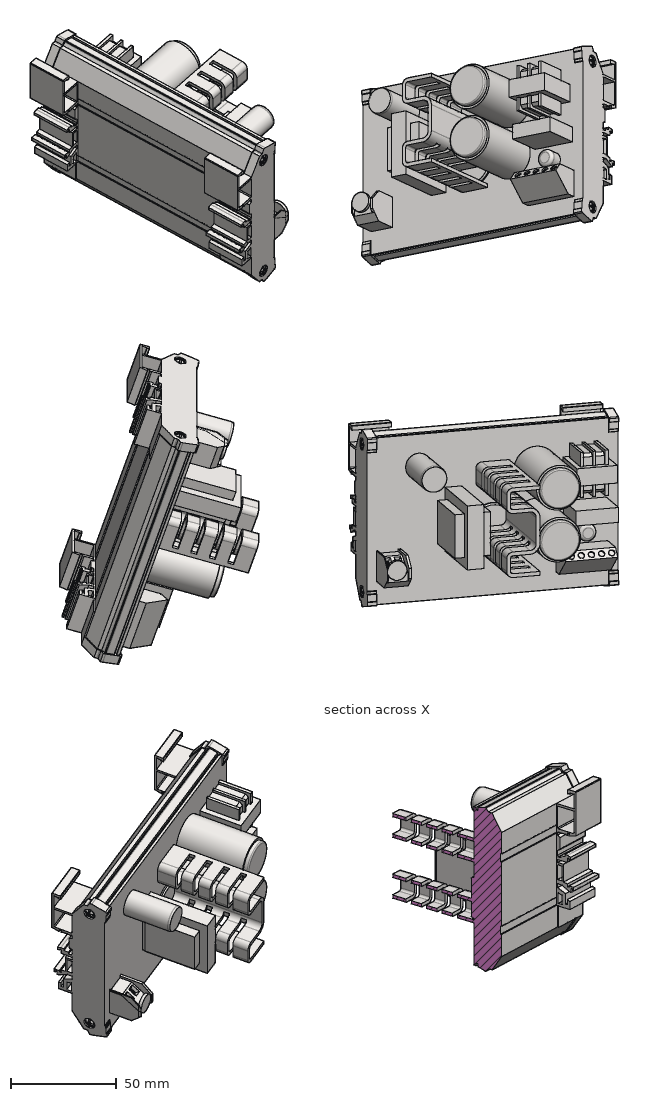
import cadquery as cq


total_length = 125.9
total_height = 86.9
total_depth = 76.5

screw_protrusion = 0.5
cap_thickness = 4.7
cap_end = total_length / 2 - screw_protrusion
cap_inner = cap_end - cap_thickness
cap_half_height = total_height / 2

heatsink_reach = 48.2
foot_back = heatsink_reach - total_depth
cap_back = -17.5
housing_back = -16.7
embed = 0.6


def box(x_range, y_range, z_range):
    """Box between pairs of coordinates."""
    (x0, x1), (y0, y1), (z0, z1) = x_range, y_range, z_range
    return cq.Workplane("XY").box(x1 - x0, y1 - y0, z1 - z0, centered=False).translate((x0, y0, z0))


def extrude_along_x(points, x_range):
    """Prism along X from a closed (y, z) outline."""
    x0, x1 = x_range
    return cq.Workplane("YZ", origin=(x0, 0, 0)).polyline(points).close().extrude(x1 - x0)


def standing_cylinder(x, z, radius, height, base=-embed):
    """Cylinder rising along +Y from the board."""
    plane = cq.Plane(origin=(x, base, z), xDir=(0, 0, 1), normal=(0, 1, 0))
    return cq.Workplane(plane).circle(radius).extrude(height - base)


def mirrored_in_z(upper_points):
    """Close an upper (y, z) half outline with its mirror image about Z = 0."""
    return upper_points + [(y, -z) for y, z in reversed(upper_points)]


def on_both_ends(body):
    """The body together with its mirror image about X = 0."""
    return body.union(body.mirror("YZ"))


slope_foot_z = 32.1
groove_depth = 0.6
back_grooves = ((16.7, 20.9), (-20.6, -16.5))
edge_groove = (-2.5, -1.4)
edge_groove_floor = 39.8
rim_z = 41.0


def make_housing():
    upper = [
        (0, rim_z),
        (edge_groove[1], rim_z),
        (edge_groove[1], edge_groove_floor),
        (edge_groove[0], edge_groove_floor),
        (edge_groove[0], 41.3),
        (-6.4, 42.3),
        (-6.8, 42.4),
        (-7.3, 42.3),
        (-7.5, 42.0),
        (-8.8, 40.7),
        (-11.0, 40.7),
        (housing_back, slope_foot_z),
    ]
    body = extrude_along_x(mirrored_in_z(upper), (-cap_inner, cap_inner))
    for z_range in back_grooves:
        groove = box((-cap_inner, cap_inner), (housing_back, housing_back + groove_depth), z_range)
        body = body.cut(groove)
    return body


screw_y = -8.2
screw_z = 36.3
screw_radius = 2.9
screw_sink = 1.1
screw_flat_radius = 0.8
screw_bulge = 0.7
cross_width = 0.9
cross_length = 4.8
cross_depth = 1.1
pad_inner = 43.5


def make_screw(z):
    """Domed cross-head screw with a small flat crown, on the +X cap."""
    dome = screw_sink + screw_protrusion
    seat_x = cap_end - screw_sink
    head = (
        cq.Workplane("XY", origin=(seat_x, screw_y, z))
        .lineTo(dome, 0)
        .lineTo(dome, screw_flat_radius)
        .threePointArc((dome * screw_bulge, (screw_flat_radius + screw_radius) / 2), (0, screw_radius))
        .close()
        .revolve(360, (0, 0, 0), (1, 0, 0))
    )
    depth = (total_length / 2 - cross_depth, total_length / 2)
    for size_y, size_z in ((cross_length, cross_width), (cross_width, cross_length)):
        slot = box(
            depth,
            (screw_y - size_y / 2, screw_y + size_y / 2),
            (z - size_z / 2, z + size_z / 2),
        )
        head = head.cut(slot)
    return head


def make_cap():
    upper = [
        (0, 34.0),
        (0.4, 34.2),
        (0.4, 35.4),
        (0.8, 35.6),
        (0.8, 39.0),
        (1.1, 39.3),
        (1.1, 40.9),
        (0.4, 41.4),
        (-6.9, cap_half_height),
        (-8.0, cap_half_height),
        (-9.2, 41.3),
        (-9.8, 41.2),
        (-11.2, 41.2),
        (cap_back, slope_foot_z),
    ]
    cap = extrude_along_x(mirrored_in_z(upper), (cap_inner, cap_end))
    pad = box((pad_inner, cap_end), (cap_back, housing_back), (-slope_foot_z, slope_foot_z))
    cap = cap.union(pad)
    for z in (screw_z, -screw_z):
        recess = (
            cq.Workplane("YZ", origin=(cap_end - screw_sink, 0, 0))
            .center(screw_y, z)
            .circle(screw_radius)
            .extrude(screw_sink)
        )
        cap = cap.cut(recess).union(make_screw(z))
    return cap


foot_width = 19.8
foot_wall = 1.1
foot_range = (cap_end - foot_width, cap_end)
foot_bottom = -20.6
root = housing_back


def make_foot():
    plate = box(foot_range, (cap_back, housing_back), (foot_bottom, slope_foot_z))
    outer = foot_back
    inner = foot_back + foot_wall
    hook = [
        (root, slope_foot_z),
        (inner, slope_foot_z),
        (inner, 39.8),
        (-24.7, 39.4),
        (-24.9, 39.0),
        (-23.5, 38.9),
        (-23.5, 40.9),
        (-23.8, 41.2),
        (outer + 0.4, 41.2),
        (outer, 40.8),
        (outer, 18.4),
        (-24.4, 17.2),
        (-24.4, 18.4),
        (-23.3, 18.4),
        (-23.3, 17.2),
        (-22.4, 17.6),
        (-17.9, 17.6),
        (cap_back, 17.2),
        (root, 17.2),
    ]
    hook_window = [
        (cap_back, 31.0),
        (inner, 31.0),
        (inner, 19.8),
        (inner + 0.5, 19.3),
        (cap_back - 0.5, 19.3),
        (cap_back, 19.8),
    ]
    stop_rib = [
        (root, 16.0),
        (cap_back, 16.0),
        (-19.0, 15.1),
        (-19.0, 9.2),
        (-18.8, 8.7),
        (-18.4, 8.7),
        (cap_back, 7.9),
        (root, 7.9),
    ]
    latch = [
        (root, 5.5),
        (cap_back, 5.5),
        (-17.9, 4.8),
        (-19.4, 4.8),
        (-19.4, 5.9),
        (-21.8, 5.9),
        (-21.8, 7.0),
        (-23.4, 7.0),
        (-25.3, 6.5),
        (-25.3, 5.0),
        (-24.3, 5.2),
        (-23.7, 5.7),
        (-23.3, 5.3),
        (-23.3, 3.7),
        (-22.9, 3.3),
        (root, 3.3),
    ]
    spring_arm = [
        (root, 1.8),
        (-21.0, 1.8),
        (-21.0, -7.4),
        (-23.3, -7.8),
        (-23.3, -9.2),
        (-24.3, -9.2),
        (-24.3, -8.5),
        (-27.1, -8.5),
        (-27.1, -10.5),
        (-26.3, -10.5),
        (-26.3, -9.7),
        (-25.5, -9.7),
        (-25.5, -11.6),
        (-24.8, -11.6),
        (-20.0, -9.2),
        (root, -9.2),
    ]
    spring_window = [(cap_back, 0.3), (-17.9, 0.6), (-20.3, 0.6), (-20.3, -7.0), (cap_back, -7.0)]
    bottom_hook = [
        (root, -11.2),
        (cap_back, -11.2),
        (-22.2, -13.1),
        (-22.2, -18.5),
        (-23.3, -18.5),
        (-23.3, -15.9),
        (-24.8, -16.5),
        (-24.8, foot_bottom),
        (root, foot_bottom),
    ]
    bottom_window = [(-17.9, -13.8), (-20.3, -14.5), (-20.3, -19.3), (-17.9, -19.3)]

    foot = plate
    for outline in (hook, stop_rib, latch, spring_arm, bottom_hook):
        foot = foot.union(extrude_along_x(outline, foot_range))
    for outline in (hook_window, spring_window, bottom_window):
        foot = foot.cut(extrude_along_x(outline, foot_range))
    return foot


sheet = 1.9
bend = 3.1
web_bend = 4.9
heatsink_left = -8.2
heatsink_right = 8.3
heatsink_top = 24.8
heatsink_mid = 2.8
shelf_top = 14.1
slot_left = -5.9
slot_width = 2.9
slot_pitch = 9.2
first_slot = 9.7
slot_count = 4


def make_heatsink():
    """Bent sheet: web on the left, folded out to the right and back into a flange, above and below."""
    half = heatsink_top - heatsink_mid
    shelf = shelf_top - heatsink_mid
    span = (-embed, heatsink_reach)
    solid = box((heatsink_left, heatsink_right), span, (-half, half))
    solid = solid.edges("|Y and >X").fillet(bend)
    channel = box((heatsink_left, heatsink_right - sheet), span, (shelf, half - sheet))
    channel = channel.edges("|Y and >X").fillet(bend - sheet)
    corner = box((heatsink_left, heatsink_left + web_bend), span, (shelf - web_bend, shelf))
    corner = corner.cut(standing_cylinder(heatsink_left + web_bend, shelf - web_bend, web_bend, heatsink_reach))
    outer_half = channel.union(corner)
    back = box((heatsink_left + sheet, heatsink_right), span, (sheet - shelf, shelf - sheet))
    back = back.edges("|Y and <X").fillet(web_bend - sheet)
    body = solid.cut(outer_half).cut(outer_half.mirror("XY")).cut(back)
    wall_start = shelf - sheet
    wedge = box((heatsink_right - bend, heatsink_right), span, (wall_start, wall_start + bend))
    wedge = wedge.cut(standing_cylinder(heatsink_right - bend, wall_start + bend, bend, heatsink_reach))
    body = body.cut(wedge).cut(wedge.mirror("XY"))
    for i in range(slot_count):
        y0 = first_slot + i * slot_pitch
        body = body.cut(box((slot_left, heatsink_right), (y0, y0 + slot_width), (-half, half)))
    return body.translate((0, 0, heatsink_mid))


upper_capacitor_z = 19.3
lower_capacitor_z = -6.3


def make_capacitor(z):
    """Large can with a stepped, rounded top."""
    x = -21.5
    can_radius, can_height = 11.0, 35.4
    top_radius, top_height, top_fillet = 9.8, 37.9, 0.6
    can = standing_cylinder(x, z, can_radius, can_height)
    top = standing_cylinder(x, z, top_radius, top_height).faces(">Y").edges().fillet(top_fillet)
    return can.union(top)


def make_slim_can():
    radius, height = 6.4, 24.7
    rim_drop, rim_inset = 1.1, 0.3
    can = standing_cylinder(36.8, 25.3, radius, height)
    return can.faces(">Y").edges().chamfer(rim_drop, rim_inset)


def make_small_can():
    radius, height, top_fillet = 4.3, 7.0, 1.6
    return standing_cylinder(-45.3, -12.7, radius, height).faces(">Y").edges().fillet(top_fillet)


def make_disc():
    """Flat disc partly under the heatsink."""
    radius, height, rim_chamfer = 10.7, 1.5, 0.8
    return standing_cylinder(0.1, -6.3, radius, height).faces(">Y").edges().chamfer(rim_chamfer)


def make_left_transformer():
    core = box((-55.0, -35.0), (-embed, 22.0), (15.1, 23.8))
    bobbin_base = 2.1
    flange_y = (bobbin_base, 19.4)
    flange_z = (8.7, 31.0)
    winding_chamfer = 1.5
    winding = box((-51.0, -38.4), (bobbin_base, 18.1), (10.1, 29.6))
    winding = winding.edges("|X and >Y").chamfer(winding_chamfer)
    body = core.union(winding)
    for x_range in ((-51.5, -49.9), (-45.1, -43.8), (-39.0, -37.6)):
        body = body.union(box(x_range, flange_y, flange_z))
    return body


def make_right_transformer():
    core = box((15.4, 23.5), (-embed, 34.5), (-17.6, 13.8))
    winding = box((10.7, 28.5), (3.7, 30.3), (-12.6, 8.8))
    return core.union(winding)


def make_relay():
    return box((-56.5, -35.2), (-embed, 19.4), (-5.0, 2.3))


def make_left_terminal():
    left, right = -57.3, -31.5
    poles = 5
    terminal_pitch = 5.0
    first_pole = left + 2.4
    hole_radius = 1.5
    hole_depth = 0.8
    shoulder = (12.2, -19.3)
    tip = (15.6, -23.3)
    outline = [(-embed, shoulder[1]), shoulder, tip, (4.9, -32.4), (-embed, -32.4)]
    block = extrude_along_x(outline, (left, right))
    facet_normal = (0, shoulder[1] - tip[1], tip[0] - shoulder[0])
    mid = ((shoulder[0] + tip[0]) / 2, (shoulder[1] + tip[1]) / 2)
    for i in range(poles):
        x = first_pole + i * terminal_pitch
        plane = cq.Plane(origin=(x, mid[0], mid[1]), xDir=(1, 0, 0), normal=facet_normal)
        block = block.cut(cq.Workplane(plane).circle(hole_radius).extrude(-hole_depth))
    return block


def make_right_terminal():
    left, right = 45.7, 57.7
    left_plate, right_plate = 1.3, 0.5
    bottom = -29.6
    plate_top = 17.0
    boss_center = (52.7, -20.1)
    boss_radius = 4.8
    slope_low = (6.3, -15.7)
    slope_high = (15.4, -22.0)
    body_outline = [
        (-embed, slope_low[1]),
        slope_low,
        slope_high,
        (slope_high[0], -26.2),
        (11.8, bottom),
        (-embed, bottom),
    ]
    plate_outline = [
        (-embed, -14.5),
        (11.7, -14.5),
        (plate_top, -19.5),
        (plate_top, -24.5),
        (11.8, bottom),
        (-embed, bottom),
    ]
    block = extrude_along_x(body_outline, (left, right))
    block = block.union(extrude_along_x(plate_outline, (left, left + left_plate)))
    block = block.union(extrude_along_x(plate_outline, (right - right_plate, right)))
    block = block.union(standing_cylinder(*boss_center, boss_radius, plate_top, base=slope_high[0]))

    funnel_length, funnel_depth, funnel_taper = 4.8, 1.5, 30
    slot_size = (0.8, 2.3)
    slot_depth = 3.0
    into_slope = (0, slope_high[1] - slope_low[1], slope_low[0] - slope_high[0])
    entry_y = 9.1
    run = (entry_y - slope_low[0]) / (slope_high[0] - slope_low[0])
    entry_z = slope_low[1] + run * (slope_high[1] - slope_low[1])
    for x, funnel_width in ((49.6, 3.3), (54.6, 3.0)):
        plane = cq.Plane(origin=(x, entry_y, entry_z), xDir=(1, 0, 0), normal=into_slope)
        entry = cq.Workplane(plane)
        block = block.cut(entry.rect(funnel_width, funnel_length).extrude(funnel_depth, taper=funnel_taper))
        block = block.cut(entry.rect(*slot_size).extrude(slot_depth))
    return block


result = make_housing()
result = result.union(on_both_ends(make_cap().union(make_foot())))
for part in (
    make_heatsink(),
    make_capacitor(upper_capacitor_z),
    make_capacitor(lower_capacitor_z),
    make_slim_can(),
    make_small_can(),
    make_disc(),
    make_left_transformer(),
    make_right_transformer(),
    make_relay(),
    make_left_terminal(),
    make_right_terminal(),
):
    result = result.union(part)